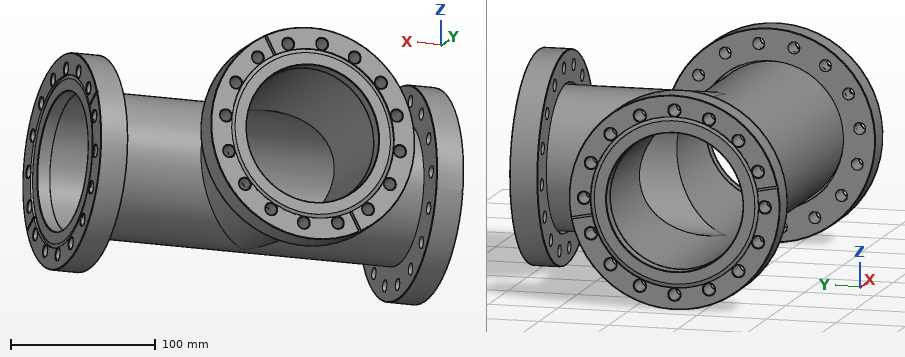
import cadquery as cq
face_reach = 135.0

tube_radius = 51.0
bore_radius = 48.8

flange_radius = 75.8
flange_thickness = 20.2
rim_chamfer = 0.5
bolt_count = 16
bolt_circle_radius = 65.0
bolt_hole_diameter = 8.4
hole_chamfer = 0.5
bolt_pitch_angle = 360 / bolt_count

recess_radius = 60.5
recess_depth = 1.5
knife_radius = 57.7
knife_depth = 0.5
mouth_radius = 49.0
mouth_chamfer = 0.5

socket_setback = 10.0
tube_reach = face_reach - socket_setback

groove_width = 1.5
groove_depth = 0.8
groove_angle = bolt_pitch_angle / 2

ring_bore_radius = 53.0
insert_thickness = 12.7
run_ring_turn = 15.3
branch_ring_turn = 16.5

left_face = cq.Plane(origin=(-face_reach, 0, 0), xDir=(0, -1, 0), normal=(-1, 0, 0))
right_face = cq.Plane(origin=(face_reach, 0, 0), xDir=(0, 1, 0), normal=(1, 0, 0))
branch_face = cq.Plane(origin=(0, face_reach, 0), xDir=(0, 0, 1), normal=(0, 1, 0))


def revolve_profile(points):
    """Revolve a closed (radius, height) outline about the local Z axis."""
    return cq.Workplane("XZ").polyline(points).close().revolve(360, (0, 0, 0), (0, 1, 0))


def tee_branches(radius, run_reach, branch_reach):
    """Solid run and branch cylinders of one radius, joined as a tee."""
    run = cq.Workplane("YZ").circle(radius).extrude(run_reach, both=True)
    branch = cq.Workplane("XZ").circle(radius).extrude(-branch_reach)
    return run.union(branch)


def make_tee():
    outside = tee_branches(tube_radius, tube_reach, tube_reach)
    inside = tee_branches(bore_radius, face_reach, face_reach)
    return outside.cut(inside)


def sealing_profile():
    """Outline from the bore mouth out to the foot of the recess wall."""
    return [
        (mouth_radius, -knife_depth - mouth_chamfer),
        (mouth_radius + mouth_chamfer, -knife_depth),
        (knife_radius, -knife_depth),
        (recess_radius, -recess_depth),
    ]


def rim_profile():
    """Outline from the top of the recess wall around the rim to its back face."""
    return [
        (recess_radius, 0),
        (flange_radius - rim_chamfer, 0),
        (flange_radius, -rim_chamfer),
        (flange_radius, rim_chamfer - flange_thickness),
        (flange_radius - rim_chamfer, -flange_thickness),
    ]


def drill_rim(body):
    """Cut the bolt holes and the two leak-check grooves into a flange rim."""
    hole_radius = bolt_hole_diameter / 2
    hole = revolve_profile([
        (0, 0),
        (hole_radius + hole_chamfer, 0),
        (hole_radius, -hole_chamfer),
        (hole_radius, -flange_thickness),
        (0, -flange_thickness),
    ]).translate((bolt_circle_radius, 0, 0))
    for i in range(bolt_count):
        body = body.cut(hole.rotate((0, 0, 0), (0, 0, 1), i * bolt_pitch_angle))
    for side in (0, 180):
        groove = (
            cq.Workplane("XY")
            .center((recess_radius + flange_radius) / 2, 0)
            .rect(flange_radius - recess_radius + 2 * groove_width, groove_width)
            .extrude(-groove_depth)
            .rotate((0, 0, 0), (0, 0, 1), groove_angle + side)
        )
        body = body.cut(groove)
    return body


def make_fixed_flange():
    """One-piece flange with a socket for the tube end."""
    socket_profile = [
        (tube_radius, -flange_thickness),
        (tube_radius, -socket_setback),
        (mouth_radius, -socket_setback),
    ]
    return drill_rim(revolve_profile(sealing_profile() + rim_profile() + socket_profile))


def make_ring(turn):
    """Rotatable outer ring, counterbored from the front to seat the insert."""
    seat_profile = [
        (ring_bore_radius, -flange_thickness),
        (ring_bore_radius, -insert_thickness),
        (recess_radius, -insert_thickness),
    ]
    ring = drill_rim(revolve_profile(rim_profile() + seat_profile))
    return ring.rotate((0, 0, 0), (0, 0, 1), turn)


def make_insert():
    """Weld insert carrying the knife edge, with a socket for the tube end."""
    socket_profile = [
        (recess_radius, -insert_thickness),
        (tube_radius, -insert_thickness),
        (tube_radius, -socket_setback),
        (mouth_radius, -socket_setback),
    ]
    return revolve_profile(sealing_profile() + socket_profile)


def place(body, plane):
    """Move a body from its local frame onto a mounting plane."""
    return body.val().moved(cq.Location(plane))


tee = make_tee()
bodies = [tee.val(), place(make_fixed_flange(), left_face)]
for face, turn in ((right_face, run_ring_turn), (branch_face, branch_ring_turn)):
    bodies.append(place(make_ring(turn), face))
    bodies.append(place(make_insert(), face))

result = cq.Compound.makeCompound(bodies)